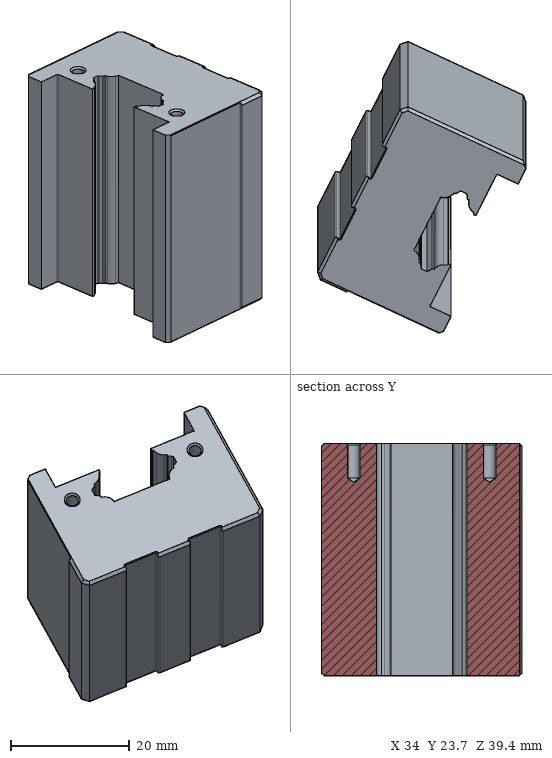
import cadquery as cq
import math

WIDTH = 34.0
DEPTH = 23.7
LENGTH = 39.4
CORNER_CHAMFER = 1.02
END_CHAMFER = 0.5

LEG_HEIGHT = 4.0
LEG_SPACING = 26.0
SLOT_CORNER_RADIUS = 0.1

GROOVE_OFFSET = 6.0
GROOVE_WIDTH = 6.0
GROOVE_DEPTH = 0.83
GROOVE_EDGE_RADIUS = 0.2
GROOVE_END_FLARE = 0.15

STRIP_HEIGHT = 6.0
SIDE_RELIEF = 0.4
STRIP_EDGE_RADIUS = 0.1

RACEWAY_Y = -4.18
CHANNEL_ROOF_Y = -1.05
MOUTH_HALF_WIDTH = 4.85
MOUTH_LIP_HEIGHT = 0.47
MOUTH_LIP_SHOULDER = 0.25
ROOF_HALF_WIDTH = 5.2
BULGE_START = (5.35, 2.52)
BULGE_MIDDLE = (5.67, 2.05)
BULGE_END = (6.3, 1.58)
STEP_OUTER = (6.8, 1.4)
STEP_INNER = (6.85, 1.05)
POCKET_RIM = (7.4, 0.75)
POCKET_BOTTOM = (7.65, 0.55)

HOLE_SPACING = 23.0
HOLE_Y = -4.37
HOLE_RADIUS = 1.02
HOLE_RIM_RADIUS = 1.35
HOLE_DEPTH = 5.9
DRILL_POINT_ANGLE = 118.0

TOP_Y = DEPTH / 2
BOTTOM_Y = -DEPTH / 2
SIDE_X = WIDTH / 2
END_Z = LENGTH / 2
LEDGE_Y = BOTTOM_Y + LEG_HEIGHT


def prism(width, height, centre_x, centre_y):
    """A full-length rectangular bar along Z."""
    return cq.Workplane("XY").box(width, height, LENGTH).translate((centre_x, centre_y, 0))


def block():
    """The plain block with its long corners and its two ends chamfered."""
    body = prism(WIDTH, DEPTH, 0, 0).edges("|Z").chamfer(CORNER_CHAMFER)
    envelope = prism(WIDTH, DEPTH + 2 * END_CHAMFER, 0, -END_CHAMFER)
    envelope = envelope.edges("|Z and >Y").chamfer(CORNER_CHAMFER)
    envelope = envelope.faces("<Z or >Z").chamfer(END_CHAMFER)
    return body.intersect(envelope)


def leg_slot():
    slot = prism(LEG_SPACING, LEG_HEIGHT, 0, BOTTOM_Y + LEG_HEIGHT / 2)
    return slot.edges("|Z and >Y").fillet(SLOT_CORNER_RADIUS)


def top_groove(centre_x):
    """A groove along the +Y face, flaring at 45 degrees where it leaves each end."""
    cutter_height = GROOVE_DEPTH + GROOVE_END_FLARE
    centre_y = TOP_Y - GROOVE_DEPTH + cutter_height / 2
    groove = prism(GROOVE_WIDTH, cutter_height, centre_x, centre_y)
    groove = groove.edges("|Z and <Y").fillet(GROOVE_EDGE_RADIUS)
    flare_outline = (
        cq.Sketch()
        .rect(GROOVE_WIDTH + 2 * GROOVE_END_FLARE, cutter_height + 2 * GROOVE_END_FLARE)
        .vertices("<Y")
        .fillet(GROOVE_EDGE_RADIUS + GROOVE_END_FLARE)
    )
    flare = (
        cq.Workplane("XY", origin=(centre_x, centre_y, END_Z))
        .placeSketch(flare_outline)
        .extrude(-GROOVE_END_FLARE, taper=45)
    )
    return groove.union(flare).union(flare.mirror("XY"))


def side_relief():
    """The part of the +X side below the raised strip."""
    height = DEPTH - STRIP_HEIGHT
    relief = prism(SIDE_RELIEF, height, SIDE_X - SIDE_RELIEF / 2, BOTTOM_Y + height / 2)
    return relief.edges("|Z and >Y and <X").fillet(STRIP_EDGE_RADIUS)


def channel_half():
    """The +X half of the rail channel, with upper and lower ball raceways mirrored in height."""

    def above(point):
        return point[0], RACEWAY_Y + point[1]

    def below(point):
        return point[0], RACEWAY_Y - point[1]

    profile = (
        cq.Workplane("XY", origin=(0, 0, -END_Z))
        .moveTo(0, CHANNEL_ROOF_Y)
        .lineTo(ROOF_HALF_WIDTH, CHANNEL_ROOF_Y)
        .lineTo(*above(BULGE_START))
        .threePointArc(above(BULGE_MIDDLE), above(BULGE_END))
    )
    for point in (STEP_OUTER, STEP_INNER, POCKET_RIM, POCKET_BOTTOM):
        profile = profile.lineTo(*above(point))
    for point in (POCKET_BOTTOM, POCKET_RIM, STEP_INNER, STEP_OUTER, BULGE_END):
        profile = profile.lineTo(*below(point))
    profile = (
        profile.threePointArc(below(BULGE_MIDDLE), below(BULGE_START))
        .lineTo(MOUTH_HALF_WIDTH + MOUTH_LIP_SHOULDER, LEDGE_Y + MOUTH_LIP_HEIGHT)
        .lineTo(MOUTH_HALF_WIDTH, LEDGE_Y + MOUTH_LIP_HEIGHT)
        .lineTo(MOUTH_HALF_WIDTH, LEDGE_Y)
        .lineTo(0, LEDGE_Y)
        .close()
    )
    return profile.extrude(LENGTH)


def screw_hole(centre_x):
    """A countersunk blind hole with a conical drill point, turned about its own axis."""
    rim_depth = HOLE_RIM_RADIUS - HOLE_RADIUS
    point_depth = HOLE_RADIUS / math.tan(math.radians(DRILL_POINT_ANGLE / 2))
    section = (
        cq.Workplane("XZ")
        .lineTo(HOLE_RIM_RADIUS, 0)
        .lineTo(HOLE_RADIUS, -rim_depth)
        .lineTo(HOLE_RADIUS, -HOLE_DEPTH)
        .lineTo(0, -HOLE_DEPTH - point_depth)
        .close()
    )
    return section.revolve(360, (0, 0, 0), (0, 1, 0)).translate((centre_x, HOLE_Y, END_Z))


def round_edge_along_z(body, x, y, radius):
    """Rounds the edge parallel to Z that passes through (x, y)."""
    return body.edges("|Z").edges(cq.selectors.NearestToPointSelector((x, y, 0))).fillet(radius)


right_channel = channel_half()
result = block().cut(leg_slot()).cut(side_relief())
result = result.cut(right_channel).cut(right_channel.mirror("YZ"))
result = round_edge_along_z(result, SIDE_X, TOP_Y - STRIP_HEIGHT, STRIP_EDGE_RADIUS)
for side in (-1, 1):
    groove_x = side * GROOVE_OFFSET
    result = result.cut(top_groove(groove_x))
    for rim_x in (groove_x - GROOVE_WIDTH / 2, groove_x + GROOVE_WIDTH / 2):
        result = round_edge_along_z(result, rim_x, TOP_Y, GROOVE_EDGE_RADIUS)
    result = result.cut(screw_hole(side * HOLE_SPACING / 2))